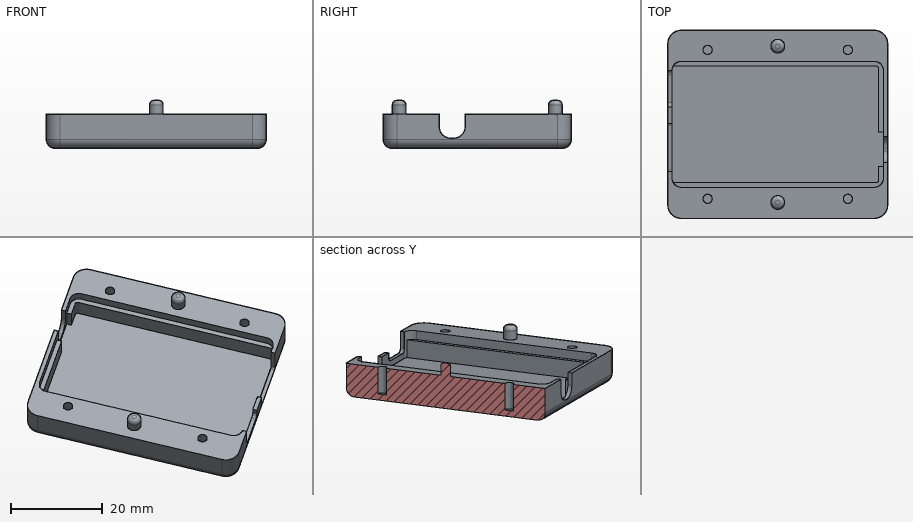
import cadquery as cq

LENGTH = 47.9
WIDTH = 41.0
HEIGHT = 7.5
CORNER_RADIUS = 3.0
BOTTOM_EDGE_RADIUS = 2.0

END_WALL = 0.95
RECESS_LENGTH = LENGTH - 2 * END_WALL
RECESS_WIDTH = 27.4
RECESS_CORNER_RADIUS = 2.0
LEDGE_Z = 5.5
LEDGE_WIDTH = 1.05
POCKET_CORNER_RADIUS = 0.5
FLOOR_Z = 1.5

LEDGE_GAP_Y_MIN = -9.2
LEDGE_GAP_Y_MAX = -1.7

WINDOW_Y_MAX = 11.75
WINDOW_Y_MIN = -10.25
TAB_Y_MAX = 3.75
TAB_Y_MIN = 0.2
TAB_TOP_Z = 4.8
HIGH_SILL_Z = 2.8
HIGH_SILL_RADIUS = 1.0
LOW_SILL_Z = 1.85
LOW_SILL_RADIUS = 0.35

NOTCH_WIDTH = 5.6
NOTCH_RADIUS = 2.5
NOTCH_Y = -5.45
NOTCH_BOTTOM_Z = 2.25

PIN_DIAMETER = 3.0
PIN_HEIGHT = 3.0
PIN_TIP_RADIUS = 1.0
PIN_Y = 17.0

HOLE_DIAMETER = 2.0
HOLE_X = 15.25
HOLE_Y = 16.2
HOLE_DEPTH = HEIGHT - FLOOR_Z


def block(x_min, x_max, y_min, y_max, z_min, z_max):
    """Axis-aligned box given by its limits."""
    size = (x_max - x_min, y_max - y_min, z_max - z_min)
    return cq.Workplane("XY").box(*size, centered=False).translate((x_min, y_min, z_min))


def make_shell():
    shell = cq.Workplane("XY").box(LENGTH, WIDTH, HEIGHT, centered=(True, True, False))
    shell = shell.edges("|Z").fillet(CORNER_RADIUS)
    return shell.faces("<Z").edges().fillet(BOTTOM_EDGE_RADIUS)


def recess_prism(z_min):
    """Rounded recess outline from z_min up to the rim."""
    prism = cq.Workplane("XY").workplane(offset=z_min).rect(RECESS_LENGTH, RECESS_WIDTH)
    return prism.extrude(HEIGHT - z_min).edges("|Z").fillet(RECESS_CORNER_RADIUS)


def make_cavity():
    """Upper recess, lower pocket and ledge gap; the pocket reaches the -X wall without a ledge."""
    x_end = RECESS_LENGTH / 2
    y_pocket = RECESS_WIDTH / 2 - LEDGE_WIDTH
    pocket = block(-x_end, x_end - LEDGE_WIDTH, -y_pocket, y_pocket, FLOOR_Z, HEIGHT)
    pocket = pocket.edges("|Z and >X").fillet(POCKET_CORNER_RADIUS)
    pocket = pocket.intersect(recess_prism(FLOOR_Z))
    gap = block(0, x_end, LEDGE_GAP_Y_MIN, LEDGE_GAP_Y_MAX, FLOOR_Z, HEIGHT)
    return recess_prism(LEDGE_Z).union(pocket).union(gap)


def wall_opening(y_min, y_max, sill_z, sill_radius):
    """Opening through the -X wall with rounded lower corners."""
    x_outer = -LENGTH / 2
    opening = block(x_outer, x_outer + END_WALL, y_min, y_max, sill_z, HEIGHT)
    return opening.edges("|X and <Z").fillet(sill_radius)


def make_window():
    high = wall_opening(TAB_Y_MAX, WINDOW_Y_MAX, HIGH_SILL_Z, HIGH_SILL_RADIUS)
    low = wall_opening(WINDOW_Y_MIN, TAB_Y_MIN, LOW_SILL_Z, LOW_SILL_RADIUS)
    x_outer = -LENGTH / 2
    above_tab = block(x_outer, x_outer + END_WALL, TAB_Y_MIN, TAB_Y_MAX, TAB_TOP_Z, HEIGHT)
    return high.union(low).union(above_tab)


def make_notch():
    """Notch through the +X wall with a narrow flat between its two bottom rounds."""
    x_outer = LENGTH / 2
    y_min = NOTCH_Y - NOTCH_WIDTH / 2
    notch = block(x_outer - END_WALL, x_outer, y_min, y_min + NOTCH_WIDTH, NOTCH_BOTTOM_Z, HEIGHT)
    return notch.edges("|X and <Z").fillet(NOTCH_RADIUS)


def make_pin(y):
    """Round-tipped pin that starts at floor level, inside the solid rim."""
    pin = cq.Workplane("XY", origin=(0, y, FLOOR_Z)).circle(PIN_DIAMETER / 2)
    pin = pin.extrude(HEIGHT + PIN_HEIGHT - FLOOR_Z)
    return pin.faces(">Z").edges().fillet(PIN_TIP_RADIUS)


def make_screw_holes():
    holes = cq.Workplane("XY").workplane(offset=HEIGHT).rect(2 * HOLE_X, 2 * HOLE_Y, forConstruction=True)
    return holes.vertices().circle(HOLE_DIAMETER / 2).extrude(-HOLE_DEPTH)


result = make_shell().cut(make_cavity()).cut(make_window()).cut(make_notch()).cut(make_screw_holes())
for pin_y in (-PIN_Y, PIN_Y):
    result = result.union(make_pin(pin_y))